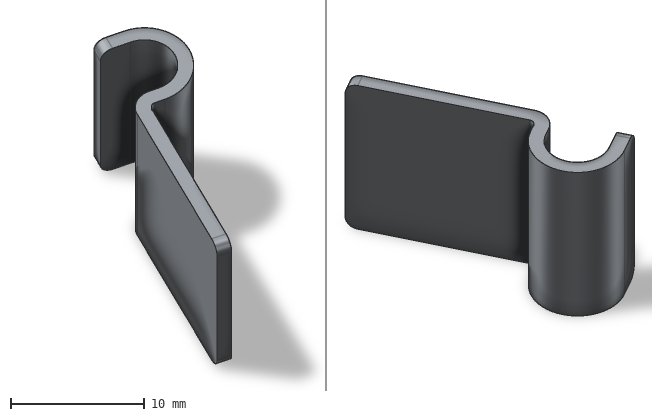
import cadquery as cq
import math

thickness = 1.2
width = 14.0
hook_inner_radius = 2.5
lip_length = 2.5
bend_inner_radius = 0.5
plate_reach = 15.0
corner_radius = 1.0

hook_outer_radius = hook_inner_radius + thickness
bend_outer_radius = bend_inner_radius + thickness
front_y = -lip_length
plate_back_y = front_y + thickness
plate_end_x = hook_outer_radius + plate_reach
bend_x = hook_outer_radius + bend_inner_radius
bend_y = plate_back_y + bend_inner_radius


def bend_midpoint(radius):
    """Middle of the quarter-round bend at the given radius."""
    offset = radius * math.cos(math.radians(45))
    return (bend_x - offset, bend_y - offset)


def bent_strip():
    """Hook, bend and plate as one bent strip, centred on Z = 0."""
    profile = (
        cq.Workplane("XY")
        .moveTo(-hook_outer_radius, front_y)
        .lineTo(-hook_outer_radius, 0)
        .threePointArc((0, hook_outer_radius), (hook_outer_radius, 0))
        .lineTo(hook_outer_radius, bend_y)
        .threePointArc(bend_midpoint(bend_inner_radius), (bend_x, plate_back_y))
        .lineTo(plate_end_x, plate_back_y)
        .lineTo(plate_end_x, front_y)
        .lineTo(bend_x, front_y)
        .threePointArc(bend_midpoint(bend_outer_radius), (hook_inner_radius, bend_y))
        .lineTo(hook_inner_radius, 0)
        .threePointArc((0, hook_inner_radius), (-hook_inner_radius, 0))
        .lineTo(-hook_inner_radius, front_y)
        .close()
    )
    return profile.extrude(width / 2, both=True)


def round_corners(strip):
    """Round the two lip corners and the two plate corners through the sheet."""
    strip = strip.faces(">X").edges("|Y").fillet(corner_radius)
    return strip.edges("|X").edges("<X").fillet(corner_radius)


result = round_corners(bent_strip())